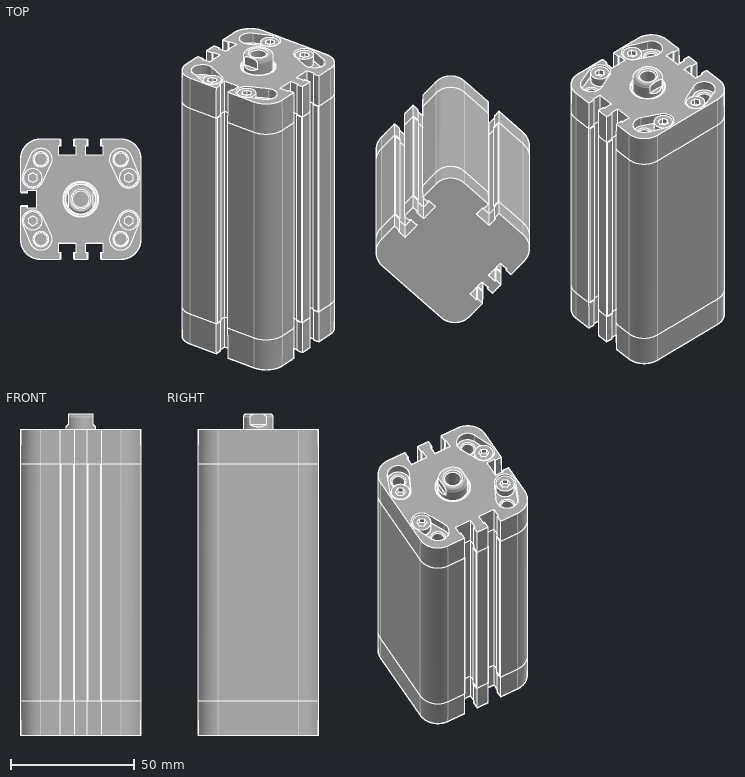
import cadquery as cq
import math

total_height = 130.5
side = 49.0
cap_height = 14.1
rod_protrusion = 6.3
corner_radius = 8.2
cap_draft_inset = 0.07

bottom_seam_z = cap_height
cap_top_z = total_height - rod_protrusion
top_seam_z = cap_top_z - cap_height
tube_length = top_seam_z - bottom_seam_z

groove_offset = 5.5
groove_depth = 6.5
groove_width = 7.0
lip_depth = 2.9
tube_mouth_width = 5.2
lip_chamfer = 0.33
cap_mouth_width = tube_mouth_width + 2 * lip_chamfer

pocket_depth = 4.6
hole_offset = 16.2
screw_x = 19.5
screw_y = 8.7
pocket_hole_end_diameter = 9.0
pocket_screw_end_diameter = 8.6
hole_diameter = 5.2
hole_chamfer = 0.5
screw_head_diameter = 7.5
screw_head_drop = 0.5
socket_corner_diameter = 4.0
socket_depth = 2.6

rod_diameter = 12.0
rod_edge_radius = 1.3
rod_bore_diameter = 6.7
rod_bore_chamfer = 0.7
rod_bore_depth = 10.5
rod_flat_width = 10.0
rod_flat_height = 4.3

seal_rim_diameter = 14.5
seal_ledge_diameter = 13.7
seal_ledge_depth = 0.8
seal_gap_diameter = 12.5
seal_gap_depth = 2.6
seal_rim_chamfer = (seal_rim_diameter - seal_ledge_diameter) / 2


def side_block(height, taper_angle):
    """Square block with round vertical corners, narrowing upward by the taper angle."""
    section = cq.Sketch().rect(side, side).vertices().fillet(corner_radius)
    return cq.Workplane("XY").placeSketch(section).extrude(height, taper=taper_angle)


def groove(height, mouth_width, mouth_chamfer):
    """T-shaped groove cutter entering the -Y side, centred on X = 0."""
    outer_y = -side / 2
    throat_y = outer_y + lip_depth
    floor_y = outer_y + groove_depth
    channel = cq.Workplane("XY").rect(groove_width, groove_depth - lip_depth).extrude(height)
    channel = channel.translate((0, (throat_y + floor_y) / 2, 0))
    mouth = cq.Workplane("XY").rect(mouth_width, 2 * lip_depth).extrude(height)
    cutter = channel.union(mouth.translate((0, outer_y, 0)))
    if mouth_chamfer > 0:
        rim = mouth_width / 2 + mouth_chamfer
        flare = (
            cq.Workplane("XY")
            .polyline([(-rim, outer_y), (rim, outer_y), (0, outer_y + rim)])
            .close()
            .extrude(height)
        )
        cutter = cutter.union(flare)
    return cutter


def cut_grooves(body, height, mouth_width, mouth_chamfer=0.0):
    """Cut two grooves in the -Y side, two in the +Y side and one in the middle of the -X side."""
    cutter = groove(height, mouth_width, mouth_chamfer)
    for x in (-groove_offset, groove_offset):
        paired = cutter.translate((x, 0, 0))
        body = body.cut(paired)
        body = body.cut(paired.mirror("XZ"))
    return body.cut(cutter.rotate((0, 0, 0), (0, 0, 1), -90))


def plain_cap():
    """Grooved cap standing on its wide seam face, which lies at Z = 0."""
    draft_angle = math.degrees(math.atan2(cap_draft_inset, cap_height))
    return cut_grooves(side_block(cap_height, draft_angle), cap_height, cap_mouth_width)


def cylinder(diameter, bottom_z, top_z, x=0, y=0):
    """Upright cylinder about the line through (x, y)."""
    base = cq.Workplane("XY", origin=(x, y, bottom_z))
    return base.circle(diameter / 2).extrude(top_z - bottom_z)


def rim_cone(diameter, chamfer, top_z, x=0, y=0):
    """Cutter for a 45 degree chamfer around a hole whose rim lies at top_z."""
    narrow_radius = diameter / 2
    base = cq.Vector(x, y, top_z - chamfer)
    return cq.Workplane(cq.Solid.makeCone(narrow_radius, narrow_radius + chamfer, chamfer, base))


def cap_pocket():
    """Material removed in the +X +Y corner of the top cap: the hull of two circles and a tapped hole."""
    floor_z = cap_height - pocket_depth
    outline = (
        cq.Sketch()
        .arc((hole_offset, hole_offset), pocket_hole_end_diameter / 2, 0, 360)
        .arc((screw_x, screw_y), pocket_screw_end_diameter / 2, 0, 360)
        .hull()
    )
    recess = cq.Workplane("XY", origin=(0, 0, floor_z)).placeSketch(outline).extrude(pocket_depth)
    hole = cylinder(hole_diameter, 0, floor_z, hole_offset, hole_offset)
    countersink = rim_cone(hole_diameter, hole_chamfer, floor_z, hole_offset, hole_offset)
    return recess.union(hole).union(countersink)


def screw_head():
    """Head with a hexagon socket, standing on the floor of the +X +Y pocket."""
    head_top_z = cap_height - screw_head_drop
    head = cylinder(screw_head_diameter, cap_height - pocket_depth, head_top_z, screw_x, screw_y)
    socket = (
        cq.Workplane("XY", origin=(screw_x, screw_y, head_top_z))
        .polygon(6, socket_corner_diameter)
        .extrude(-socket_depth)
        .rotate((screw_x, screw_y, 0), (screw_x, screw_y, 1), 90)
    )
    return head.cut(socket)


def corner_copies(feature):
    """The feature and its mirror images in all four corners."""
    across_x = feature.mirror("YZ")
    return [feature, across_x, feature.mirror("XZ"), across_x.mirror("XZ")]


def rod_passage():
    """Rod hole through the top cap, widening in steps into the seal recess at its top."""
    hole = cylinder(rod_diameter, 0, cap_height)
    gap = cylinder(seal_gap_diameter, cap_height - seal_gap_depth, cap_height)
    ledge = cylinder(seal_ledge_diameter, cap_height - seal_ledge_depth, cap_height)
    rim = rim_cone(seal_ledge_diameter, seal_rim_chamfer, cap_height)
    return hole.union(gap).union(ledge).union(rim)


def make_bottom_cap():
    return plain_cap().mirror("XY").translate((0, 0, bottom_seam_z))


def make_tube():
    tube = cut_grooves(side_block(tube_length, 0), tube_length, tube_mouth_width, lip_chamfer)
    return tube.translate((0, 0, bottom_seam_z))


def make_top_cap():
    cap = plain_cap().cut(rod_passage())
    for pocket in corner_copies(cap_pocket()):
        cap = cap.cut(pocket)
    for head in corner_copies(screw_head()):
        cap = cap.union(head)
    return cap.translate((0, 0, top_seam_z))


def make_rod():
    """Rod resting on the tube, with a bored end and two wrench flats facing -X and +X."""
    rod = cylinder(rod_diameter, top_seam_z, total_height)
    rod = rod.faces(">Z").edges().fillet(rod_edge_radius)
    rod = rod.cut(cylinder(rod_bore_diameter, total_height - rod_bore_depth, total_height))
    rod = rod.cut(rim_cone(rod_bore_diameter, rod_bore_chamfer, total_height))

    flat_x = rod_flat_width / 2
    outer_x = rod_diameter / 2
    flat_end_z = total_height - rod_flat_height
    slope_end_z = flat_end_z - (outer_x - flat_x)
    flat_cutter = (
        cq.Workplane("XZ")
        .polyline(
            [
                (flat_x, total_height),
                (flat_x, flat_end_z),
                (outer_x, slope_end_z),
                (outer_x, total_height),
            ]
        )
        .close()
        .extrude(outer_x, both=True)
    )
    return rod.cut(flat_cutter).cut(flat_cutter.mirror("YZ"))


bottom_cap = make_bottom_cap()
tube = make_tube()
top_cap = make_top_cap()
rod = make_rod()

result = cq.Compound.makeCompound([bottom_cap.val(), tube.val(), top_cap.val(), rod.val()])